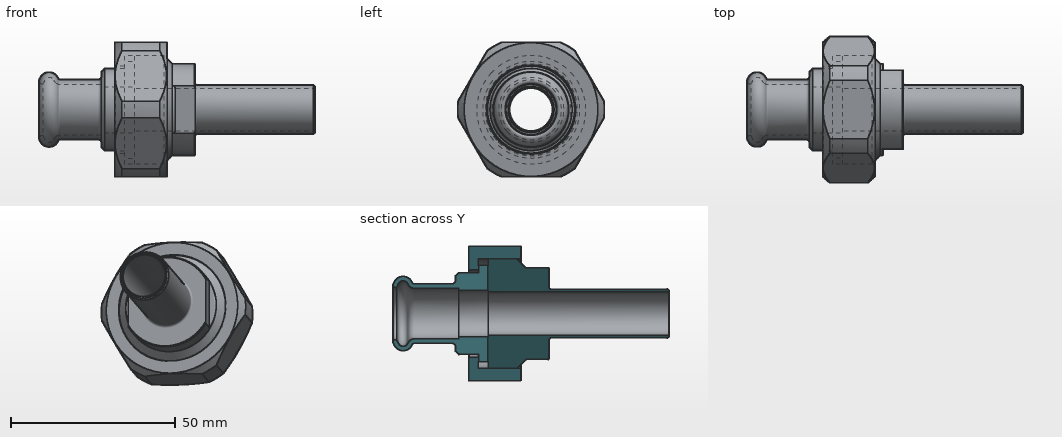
import cadquery as cq
import math


TOTAL_LENGTH = 84.0
THROUGH_BORE_R = 13.0 / 2

TUBE_R = 18.3 / 2
SOCKET_BORE_R = 15.3 / 2
WALL = TUBE_R - SOCKET_BORE_R
STOP_BORE_R = 14.0 / 2
LIP_BORE_R = 15.7 / 2
LIP_FACE_R = 8.7
LIP_OUTER_ROUNDING = 2.5
LIP_INNER_ROUNDING = LIP_FACE_R - LIP_BORE_R
LIP_END_X = 1.2
BEAD_X = 3.1
BEAD_R = 3.0
BEAD_CENTER_R = 8.4
BEAD_HALF_ANGLE = math.radians(60)
BEAD_FILLET = 0.6
SOCKET_DEPTH = 20.0
HUB_X = 19.0
HUB_R = 25.0 / 2
HUB_CHAMFER = 1.0
HUB_FILLET = 1.0
FLANGE_R = 29.5 / 2
FLANGE_THICKNESS = 3.0

NUT_X = 23.0
NUT_LENGTH = 16.0
NUT_END_X = NUT_X + NUT_LENGTH
NUT_ACROSS_FLATS = 41.0
NUT_CORNER_R = 44.68 / 2
NUT_CHAMFER_LENGTH = 2.25
NUT_CHAMFER_DEPTH = 2.0
NUT_LIP_THICKNESS = 3.0
NUT_LIP_BORE_R = 26.5 / 2
NUT_LIP_CHAMFER = 0.3
THREAD_R = 33.1 / 2

FLANGE_X = NUT_X + NUT_LIP_THICKNESS
SEAT_X = FLANGE_X + FLANGE_THICKNESS
COLLAR_R = 28.0 / 2
CONE_END_X = 40.5
CONE_X = CONE_END_X - (THREAD_R - COLLAR_R)
COLLAR_END_X = 41.45
COLLAR_ROUNDING = 0.5
WRENCH_END_X = 47.5
WRENCH_ACROSS_FLATS = 24.0
WRENCH_CHAMFER = 0.25
SPIGOT_R = 15.0 / 2
SPIGOT_FILLET = 0.65
SPIGOT_CHAMFER = 0.5


def revolve_about_x(profile):
    """Turn a closed outline of (x, radius) points about the X axis."""
    return profile.close().revolve(360, (0, 0, 0), (1, 0, 0))


def cylinder_along_x(radius, start, end):
    return cq.Workplane("YZ").workplane(offset=start).circle(radius).extrude(end - start)


def bead_point(radius, angle):
    """Point (x, radius) on a bead arc, with the angle measured from the crest towards +X."""
    return BEAD_X + radius * math.sin(angle), BEAD_CENTER_R + radius * math.cos(angle)


def make_socket():
    """Press socket with a hollow bead of even wall at its mouth and a flange held by the nut."""
    groove_r = BEAD_R - WALL
    inner_fillet = BEAD_FILLET + WALL

    bead_end_x, bead_end_r = bead_point(BEAD_R, BEAD_HALF_ANGLE)
    fillet_center_r = TUBE_R + BEAD_FILLET
    fillet_start_r = fillet_center_r - BEAD_FILLET * math.cos(BEAD_HALF_ANGLE)
    fillet_start_x = bead_end_x + (bead_end_r - fillet_start_r) / math.tan(BEAD_HALF_ANGLE)
    fillet_x = fillet_start_x + BEAD_FILLET * math.sin(BEAD_HALF_ANGLE)
    inner_start = (
        fillet_x - inner_fillet * math.sin(BEAD_HALF_ANGLE),
        fillet_center_r - inner_fillet * math.cos(BEAD_HALF_ANGLE),
    )

    outline = (
        cq.Workplane("XY")
        .moveTo(LIP_INNER_ROUNDING, LIP_BORE_R)
        .radiusArc((0, LIP_FACE_R), LIP_INNER_ROUNDING)
        .radiusArc(bead_point(BEAD_R, -BEAD_HALF_ANGLE), LIP_OUTER_ROUNDING)
        .threePointArc(bead_point(BEAD_R, 0), (bead_end_x, bead_end_r))
        .lineTo(fillet_start_x, fillet_start_r)
        .radiusArc((fillet_x, TUBE_R), -BEAD_FILLET)
        .lineTo(HUB_X - HUB_FILLET, TUBE_R)
        .radiusArc((HUB_X, TUBE_R + HUB_FILLET), -HUB_FILLET)
        .lineTo(HUB_X, HUB_R - HUB_CHAMFER)
        .lineTo(HUB_X + HUB_CHAMFER, HUB_R)
        .lineTo(FLANGE_X, HUB_R)
        .lineTo(FLANGE_X, FLANGE_R)
        .lineTo(SEAT_X, FLANGE_R)
        .lineTo(SEAT_X, STOP_BORE_R)
        .lineTo(SOCKET_DEPTH, STOP_BORE_R)
        .lineTo(SOCKET_DEPTH, SOCKET_BORE_R)
        .lineTo(fillet_x, SOCKET_BORE_R)
        .radiusArc(inner_start, inner_fillet)
        .lineTo(*bead_point(groove_r, BEAD_HALF_ANGLE))
        .threePointArc(bead_point(groove_r, 0), bead_point(groove_r, -BEAD_HALF_ANGLE))
        .lineTo(LIP_END_X, LIP_BORE_R)
    )
    return revolve_about_x(outline)


def make_nut():
    """Hexagon nut with rounded corners, chamfered ends and a lip behind the flange."""
    hexagon = (
        cq.Workplane("YZ")
        .workplane(offset=NUT_X)
        .polygon(6, NUT_ACROSS_FLATS / math.cos(math.pi / 6))
        .extrude(NUT_LENGTH)
    )
    end_face_r = NUT_CORNER_R - NUT_CHAMFER_DEPTH
    envelope = revolve_about_x(
        cq.Workplane("XY")
        .moveTo(NUT_X, 0)
        .lineTo(NUT_X, end_face_r)
        .lineTo(NUT_X + NUT_CHAMFER_LENGTH, NUT_CORNER_R)
        .lineTo(NUT_END_X - NUT_CHAMFER_LENGTH, NUT_CORNER_R)
        .lineTo(NUT_END_X, end_face_r)
        .lineTo(NUT_END_X, 0)
    )
    lip_bore = revolve_about_x(
        cq.Workplane("XY")
        .moveTo(NUT_X, 0)
        .lineTo(NUT_X, NUT_LIP_BORE_R + NUT_LIP_CHAMFER)
        .lineTo(NUT_X + NUT_LIP_CHAMFER, NUT_LIP_BORE_R)
        .lineTo(FLANGE_X, NUT_LIP_BORE_R)
        .lineTo(FLANGE_X, 0)
    )
    thread_bore = cylinder_along_x(THREAD_R, FLANGE_X, NUT_END_X)
    return hexagon.intersect(envelope).cut(lip_bore).cut(thread_bore)


def make_tail():
    """Threaded end, wrench section with two flats, and plain spigot."""
    threaded_end = revolve_about_x(
        cq.Workplane("XY")
        .moveTo(SEAT_X, 0)
        .lineTo(SEAT_X, THREAD_R)
        .lineTo(CONE_X, THREAD_R)
        .lineTo(CONE_END_X, COLLAR_R)
        .lineTo(COLLAR_END_X - COLLAR_ROUNDING, COLLAR_R)
        .radiusArc((COLLAR_END_X, COLLAR_R - COLLAR_ROUNDING), COLLAR_ROUNDING)
        .lineTo(COLLAR_END_X, 0)
    )
    flats = cq.Workplane("XY").box(
        TOTAL_LENGTH, WRENCH_ACROSS_FLATS, 2 * COLLAR_R, centered=(False, True, True)
    )
    wrench_section = (
        cylinder_along_x(COLLAR_R, COLLAR_END_X - COLLAR_ROUNDING, WRENCH_END_X)
        .faces(">X")
        .chamfer(WRENCH_CHAMFER)
        .intersect(flats)
    )
    spigot = revolve_about_x(
        cq.Workplane("XY")
        .moveTo(WRENCH_END_X, 0)
        .lineTo(WRENCH_END_X, SPIGOT_R + SPIGOT_FILLET)
        .radiusArc((WRENCH_END_X + SPIGOT_FILLET, SPIGOT_R), -SPIGOT_FILLET)
        .lineTo(TOTAL_LENGTH - SPIGOT_CHAMFER, SPIGOT_R)
        .lineTo(TOTAL_LENGTH, SPIGOT_R - SPIGOT_CHAMFER)
        .lineTo(TOTAL_LENGTH, 0)
    )
    bore = cylinder_along_x(THROUGH_BORE_R, SEAT_X, TOTAL_LENGTH)
    body = threaded_end.union(wrench_section, clean=False).union(spigot, clean=False)
    return body.cut(bore, clean=False)


socket = make_socket()
nut = make_nut()
tail = make_tail()

result = cq.Compound.makeCompound([*socket.solids().vals(), *nut.solids().vals(), *tail.solids().vals()])